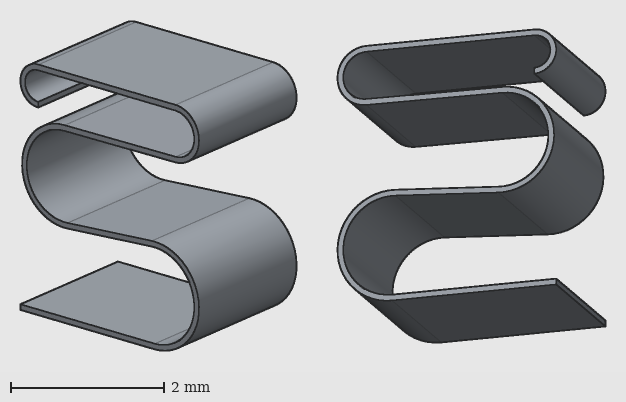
import cadquery as cq
import math

length = 3.01
width = 2.01
height = 3.5
thickness = 0.08

base_bend_radius = 0.752
middle_bend_radius = 0.718
top_bend_radius = 0.402
hook_radius = 0.3

middle_bend_left = 0.028
middle_bend_height = 2.045

bends = [
    (length - base_bend_radius, base_bend_radius, base_bend_radius, 1),
    (middle_bend_left + middle_bend_radius, middle_bend_height, middle_bend_radius, -1),
    (length - top_bend_radius, height - top_bend_radius, top_bend_radius, 1),
    (hook_radius, height - hook_radius, hook_radius, 1),
]


def signed_radius(bend):
    """Centreline radius, positive for a counter-clockwise bend."""
    _, _, outer_radius, turn = bend
    return turn * (outer_radius - thickness / 2)


def tangent_heading(bend, following):
    """Heading of the straight run that is tangent to two bends."""
    dx = following[0] - bend[0]
    dz = following[1] - bend[1]
    radius_change = signed_radius(following) - signed_radius(bend)
    heading = math.atan2(dz, dx) - math.asin(radius_change / math.hypot(dx, dz))
    return heading % (2 * math.pi)


def bend_point(bend, heading, offset):
    """Point where the strip has this heading, offset left of the centreline."""
    radius = signed_radius(bend) - offset
    return (bend[0] + radius * math.sin(heading), bend[1] - radius * math.cos(heading))


headings = [0.0]
headings += [tangent_heading(bend, following) for bend, following in zip(bends, bends[1:])]
headings.append(2 * math.pi)


def bend_arcs(offset):
    """Start, middle and end points of every bend on one face of the strip."""
    arcs = []
    for bend, start, end in zip(bends, headings, headings[1:]):
        arcs.append([bend_point(bend, heading, offset) for heading in (start, (start + end) / 2, end)])
    return arcs


outline = cq.Workplane("XZ").moveTo(0, 0)
for start, middle, end in bend_arcs(-thickness / 2):
    outline = outline.lineTo(*start).threePointArc(middle, end)
for start, middle, end in reversed(bend_arcs(thickness / 2)):
    outline = outline.lineTo(*end).threePointArc(middle, start)
outline = outline.lineTo(0, thickness).close()

result = outline.extrude(width / 2, both=True)